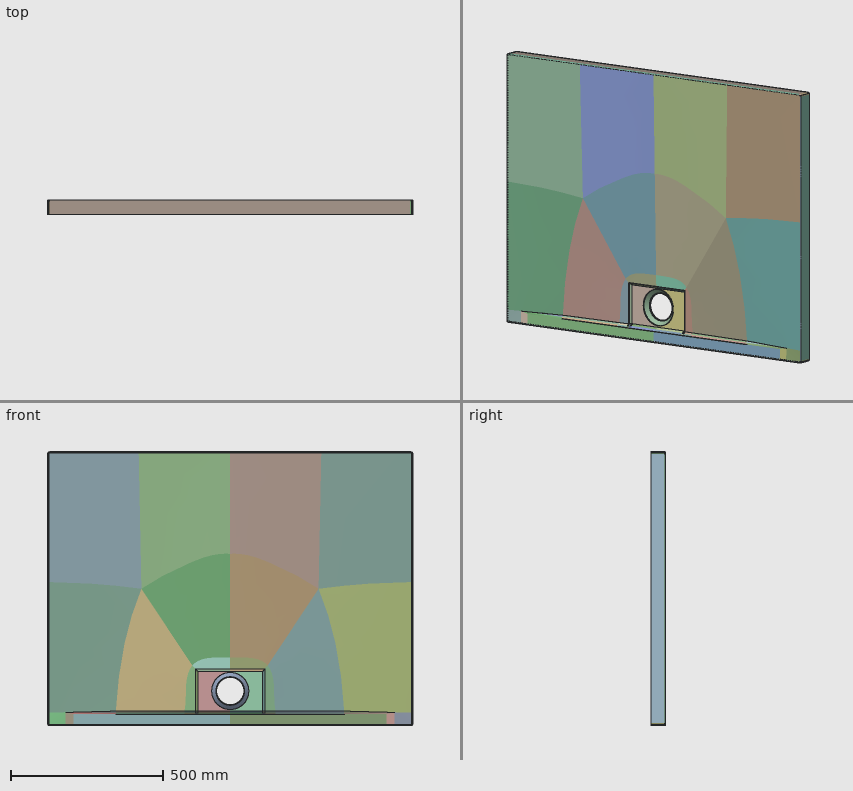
import cadquery as cq

WIDTH = 1200.0
DEPTH = 48.0
HEIGHT = 900.0
WALL = 4.0
SHEET = 4.0
CORNER_RADIUS = 8.0
BACK_EDGE_RADIUS = 3.5

FORWARD = cq.Vector(0, -1, 0)

INNER_X = WIDTH / 2 - WALL
INNER_Z = HEIGHT / 2 - WALL

RIM_Y = DEPTH / 2 - SHEET
KNEE_Y = 15.0
CROWN_Y = 13.0
FOOT_Y = 11.8
BLEND_Y = 5.5
SEAT_Y = 4.3
POCKET_Y = -5.0
BOSS_TIP_Y = -20.5

KNEE_X = 291.0
KNEE_Z = -1.0
CROWN_Z = 114.0
TOP_CREASE_X = 300.0
SIDE_CREASE_Z = 21.0
FOOT_X = 375.0
ARCH_POINTS = [(-240.0, 14.6, 31.0), (-150.0, 13.8, 76.0), (-72.0, 13.2, 106.0)]
SIDE_ARC_POINTS = [(-337.0, 14.0, -140.0), (-365.0, 12.8, -290.0)]
SIDE_CREASE_BEND = (-460.0, 18.0, 16.0)

STEP_TOP_Z = -402.0
STEP_BEVEL_Z = -408.0
STEP_BOTTOM_Z = -413.0
STEP_BEVEL_SHARE = 0.45
SIDE_END_Z = -408.0
STEP_END_X = 540.0
STRIP_X = 514.0

POCKET_X = 106.0
POCKET_TOP_Z = -272.0
POCKET_DRAFT = 7.5
BLEND_TOP_Z = -226.0
BLEND_CORNER_X = 124.0
BLEND_CORNER_Z = -253.0
BLEND_ARCH_POINTS = [(-100.0, BLEND_Y, -236.0), (-50.0, BLEND_Y, -227.0)]
BLEND_SIDE_POINTS = [(-136.0, BLEND_Y, -275.0), (-145.0, BLEND_Y, -335.0)]
BLEND_FOOT_X = 150.0

DRAIN_Z = -336.0
DRAIN_RADIUS = 45.0
BOSS_TIP_RADIUS = 47.0
BOSS_BASE_RADIUS = 61.0


def line(start, end):
    return cq.Edge.makeLine(cq.Vector(*start), cq.Vector(*end))


def curve(*points):
    return cq.Edge.makeSpline([cq.Vector(*point) for point in points])


def thicken(face):
    """Sheet piece behind a front face, with constant thickness along Y."""
    return cq.Solid.extrudeLinear(face, cq.Vector(0, SHEET, 0))


def ruled_panel(first_edge, second_edge):
    """Sheet piece whose front face is ruled between two edges."""
    return thicken(cq.Face.makeRuledSurface(first_edge, second_edge))


def filled_panel(*edges):
    """Sheet piece whose front face spans a closed loop of edges."""
    return thicken(cq.Face.makeNSidedSurface(list(edges), []))


def flat_panel(*corners):
    """Sheet piece whose front face is a flat polygon."""
    outline = cq.Wire.makePolygon([cq.Vector(*corner) for corner in corners], close=True)
    return thicken(cq.Face.makeFromWires(outline))


def point_at_x(start, end, x):
    """Point of a straight segment at a given X."""
    share = (x - start[0]) / (end[0] - start[0])
    return tuple(a + share * (b - a) for a, b in zip(start, end))


def make_rim():
    """Four rim walls with rounded corners, open over the whole floor."""
    rim = cq.Workplane("XY").box(WIDTH, DEPTH, HEIGHT)
    rim = rim.edges("|Y").fillet(CORNER_RADIUS)
    rim = rim.faces(">Y").edges().fillet(BACK_EDGE_RADIUS)
    opening = cq.Workplane("XY").box(2 * INNER_X, 2 * DEPTH, 2 * INNER_Z)
    return rim.cut(opening)


def floor_panels():
    """Sloping floor, drain pocket, step and strip of the left half."""
    top_middle = (0, RIM_Y, INNER_Z)
    top_crease = (-TOP_CREASE_X, RIM_Y, INNER_Z)
    top_corner = (-INNER_X, RIM_Y, INNER_Z)
    side_crease = (-INNER_X, RIM_Y, SIDE_CREASE_Z)
    side_end = (-INNER_X, RIM_Y, SIDE_END_Z)
    bottom_corner = (-INNER_X, RIM_Y, -INNER_Z)
    bottom_end = (-STEP_END_X, RIM_Y, -INNER_Z)
    bottom_strip = (-STRIP_X, RIM_Y, -INNER_Z)
    bottom_middle = (0, RIM_Y, -INNER_Z)

    knee = (-KNEE_X, KNEE_Y, KNEE_Z)
    crown = (0, CROWN_Y, CROWN_Z)
    foot = (-FOOT_X, FOOT_Y, STEP_TOP_Z)
    step_end = point_at_x(side_end, foot, -STEP_END_X)
    arch = curve(knee, *ARCH_POINTS, crown)
    side_arc = curve(knee, *SIDE_ARC_POINTS, foot)
    side_line = curve(side_crease, SIDE_CREASE_BEND, knee)

    seat_x = POCKET_X + POCKET_DRAFT
    seat_z = POCKET_TOP_Z + POCKET_DRAFT
    blend_corner = (-BLEND_CORNER_X, BLEND_Y, BLEND_CORNER_Z)
    blend_top = (0, BLEND_Y, BLEND_TOP_Z)
    blend_foot = (-BLEND_FOOT_X, BLEND_Y, STEP_TOP_Z)
    seat_corner = (-seat_x, SEAT_Y, seat_z)
    seat_top = (0, SEAT_Y, seat_z)
    seat_foot = (-seat_x, SEAT_Y, STEP_TOP_Z)
    pocket_corner = (-POCKET_X, POCKET_Y, POCKET_TOP_Z)
    pocket_top = (0, POCKET_Y, POCKET_TOP_Z)
    pocket_foot = (-POCKET_X, POCKET_Y, STEP_TOP_Z)
    pocket_middle = (0, POCKET_Y, STEP_TOP_Z)
    blend_arch = curve(blend_corner, *BLEND_ARCH_POINTS, blend_top)
    blend_side = curve(blend_corner, *BLEND_SIDE_POINTS, blend_foot)

    pieces = [
        ruled_panel(line(top_corner, top_crease), side_line),
        ruled_panel(line(top_crease, top_middle), arch),
        filled_panel(side_line, side_arc, line(foot, side_end), line(side_end, side_crease)),
        ruled_panel(arch, blend_arch),
        ruled_panel(side_arc, blend_side),
        ruled_panel(blend_arch, line(seat_corner, seat_top)),
        ruled_panel(blend_side, line(seat_corner, seat_foot)),
        ruled_panel(line(seat_corner, seat_top), line(pocket_corner, pocket_top)),
        ruled_panel(line(seat_corner, seat_foot), line(pocket_corner, pocket_foot)),
        ruled_panel(line(pocket_corner, pocket_top), line(pocket_foot, pocket_middle)),
    ]

    strip_slope = (RIM_Y - step_end[1]) / (step_end[2] + INNER_Z)
    step_y = RIM_Y - strip_slope * (STEP_BOTTOM_Z + INNER_Z)
    strip_corner = (-STRIP_X, step_y, STEP_BOTTOM_Z)
    step_tops = [foot, blend_foot, seat_foot, pocket_foot, pocket_middle]
    step_bevels = [(x, y + STEP_BEVEL_SHARE * (step_y - y), STEP_BEVEL_Z) for x, y, z in step_tops]
    step_bottoms = [(x, step_y, STEP_BOTTOM_Z) for x, y, z in step_tops]
    pieces.append(flat_panel(step_end, foot, step_bevels[0]))
    pieces.append(ruled_panel(line(step_end, step_bevels[0]), line(strip_corner, step_bottoms[0])))
    for upper, lower in ((step_tops, step_bevels), (step_bevels, step_bottoms)):
        for index in range(len(upper) - 1):
            upper_edge = line(upper[index], upper[index + 1])
            lower_edge = line(lower[index], lower[index + 1])
            pieces.append(ruled_panel(upper_edge, lower_edge))

    pieces.append(ruled_panel(line(strip_corner, step_bottoms[-1]), line(bottom_strip, bottom_middle)))
    pieces.append(ruled_panel(line(step_end, strip_corner), line(bottom_end, bottom_strip)))
    pieces.append(ruled_panel(line(side_end, step_end), line(bottom_corner, bottom_end)))
    return pieces


def boss_cone():
    """Solid cone tapering forward from the pocket floor to the boss tip."""
    height = POCKET_Y - BOSS_TIP_Y
    base_centre = cq.Vector(0, POCKET_Y, DRAIN_Z)
    return cq.Solid.makeCone(BOSS_BASE_RADIUS, BOSS_TIP_RADIUS, height, base_centre, FORWARD)


def add_drain(tray):
    """Hollow tapered collar on the pocket floor with the drain hole through it."""
    boss = boss_cone()
    hollow = boss.translate(cq.Vector(0, SHEET, 0))
    hole_start = cq.Vector(0, DEPTH, DRAIN_Z)
    drain_hole = cq.Solid.makeCylinder(DRAIN_RADIUS, 2 * DEPTH, hole_start, FORWARD)
    return tray.fuse(boss).cut(hollow, drain_hole)


def make_tray():
    """Rim, both mirrored floor halves and the drain as one solid."""
    panels = floor_panels()
    left_floor = panels[0].fuse(*panels[1:])
    right_floor = left_floor.mirror("YZ")
    shell = make_rim().val().fuse(left_floor, right_floor)
    return add_drain(shell).Solids()[0]


result = cq.Workplane(make_tray())